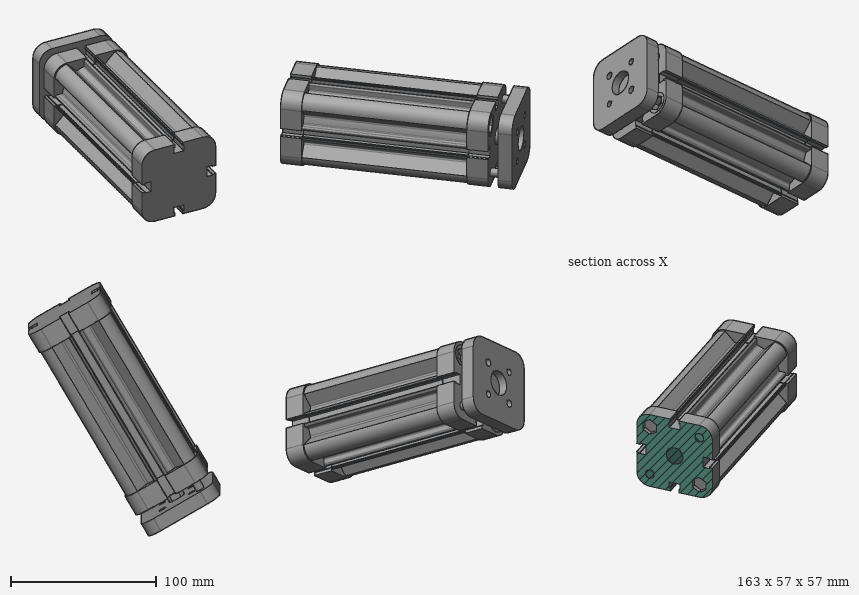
import cadquery as cq
import math


total_length = 163.0
plate_thickness = 10.0
gap_length = 7.0
cap_length = 14.8
front_cap_start = plate_thickness + gap_length
profile_start = front_cap_start + cap_length
rear_cap_start = total_length - cap_length
profile_length = rear_cap_start - profile_start

side = 57.0
half_side = side / 2
corner_radius = 10.0
corner_center = half_side - corner_radius

profile_inset = 1.0
lobe_radius = corner_radius - profile_inset
lobe_outer = half_side - profile_inset
barrel_radius = 22.8
valley_fillet = 1.3

rail_half_width = 5.2
rail_top = 27.2
rail_edge_fillet = 1.1
rail_root_fillet = 0.7
match_tolerance = 0.02

slot_mouth_width = 5.4
slot_undercut = 0.7
slot_lip_bottom = 26.0
slot_floor = 22.2
slot_mouth_chamfer = 0.5
cap_slot_clearance = 0.5

screw_head_radius = 7.7
screw_head_recess = 0.2
hex_across_flats = 9.8
hex_depth = 5.9

center_recess_diameter = 17.5
center_recess_depth = 6.0
plate_hole_offset = 11.5
large_hole_diameter = 5.2
small_hole_diameter = 4.5

guide_rod_diameter = 6.0
piston_rod_diameter = 12.0
wrench_flat_distance = 10.1
wrench_flat_length = 5.0
rod_length = profile_start - plate_thickness

screw_places = [(corner_center, corner_center), (-corner_center, -corner_center)]
guide_rod_places = [(-corner_center, corner_center), (corner_center, -corner_center)]
large_hole_places = [(plate_hole_offset, plate_hole_offset), (-plate_hole_offset, -plate_hole_offset)]
small_hole_places = [(-plate_hole_offset, plate_hole_offset), (plate_hole_offset, -plate_hole_offset)]


def section_plane(x):
    """Plane across the X axis at x, with local axes along Y and Z."""
    return cq.Workplane("YZ", origin=(x, 0, 0))


def rounded_square(x, length):
    return section_plane(x).rect(side, side).extrude(length).edges("|X").fillet(corner_radius)


def cylinders(x, places, diameter, length):
    return section_plane(x).pushPoints(places).circle(diameter / 2).extrude(length)


def on_four_sides(shape):
    """Four copies of a shape, turned about the X axis onto every side."""
    copies = shape
    for angle in (90, 180, 270):
        copies = copies.union(shape.rotate((0, 0, 0), (1, 0, 0), angle))
    return copies


def corner_lobe():
    """Rounded +Y +Z corner whose two flanks run inwards at 45 degrees."""
    flank_end = lobe_outer - corner_center
    arc_middle = corner_center + lobe_radius * math.cos(math.pi / 4)
    return (
        section_plane(profile_start)
        .moveTo(0, flank_end)
        .lineTo(corner_center, lobe_outer)
        .threePointArc((arc_middle, arc_middle), (lobe_outer, corner_center))
        .lineTo(flank_end, 0)
        .close()
        .extrude(profile_length)
    )


def rail():
    """Solid rail on the +Z side."""
    return (
        section_plane(profile_start)
        .center(0, rail_top / 2)
        .rect(2 * rail_half_width, rail_top)
        .extrude(profile_length)
        .edges("|X and >Z")
        .fillet(rail_edge_fillet)
    )


def slot_cutter(x, length, clearance):
    """Undercut slot open to the +Z side, widened and deepened by the clearance."""
    floor = slot_floor - clearance
    half_mouth = slot_mouth_width / 2 + clearance
    half_throat = half_mouth + slot_undercut
    return (
        section_plane(x)
        .moveTo(-half_throat, floor)
        .lineTo(half_throat, floor)
        .lineTo(half_throat, slot_lip_bottom)
        .lineTo(half_mouth, slot_lip_bottom)
        .lineTo(half_mouth, half_side)
        .lineTo(-half_mouth, half_side)
        .lineTo(-half_mouth, slot_lip_bottom)
        .lineTo(-half_throat, slot_lip_bottom)
        .close()
        .extrude(length)
    )


def mouth_chamfer_cutter():
    """Wedge that bevels both lips of the rail slot on the +Z side."""
    top_half_width = slot_mouth_width / 2 + slot_mouth_chamfer
    return (
        section_plane(profile_start)
        .moveTo(-top_half_width, rail_top)
        .lineTo(top_half_width, rail_top)
        .lineTo(0, rail_top - top_half_width)
        .close()
        .extrude(profile_length)
    )


def fillet_barrel_edges(body, radius, low, high):
    """Fillet the edges on the barrel surface that lie low to high away from a middle plane."""
    def is_wanted(edge):
        y = abs(edge.Center().y)
        z = abs(edge.Center().z)
        on_barrel = math.isclose(math.hypot(y, z), barrel_radius, abs_tol=match_tolerance)
        return on_barrel and low < min(y, z) < high

    return body.edges("|X").filter(is_wanted).fillet(radius)


def build_profile():
    barrel = section_plane(profile_start).circle(barrel_radius).extrude(profile_length)
    body = barrel.union(on_four_sides(corner_lobe()))
    body = fillet_barrel_edges(body, valley_fillet, rail_half_width, barrel_radius)
    body = body.union(on_four_sides(rail()))
    root_low = rail_half_width - match_tolerance
    root_high = rail_half_width + match_tolerance
    body = fillet_barrel_edges(body, rail_root_fillet, root_low, root_high)
    rail_slot = slot_cutter(profile_start, profile_length, 0)
    return body.cut(on_four_sides(rail_slot.union(mouth_chamfer_cutter())))


def build_cap(x):
    cap_slot = slot_cutter(x, cap_length, cap_slot_clearance)
    return rounded_square(x, cap_length).cut(on_four_sides(cap_slot))


def screw_head_cutters():
    """Shallow recesses that outline the screw heads, with their hexagon sockets."""
    recesses = cylinders(front_cap_start, screw_places, 2 * screw_head_radius, screw_head_recess)
    hex_across_corners = hex_across_flats / math.cos(math.pi / 6)
    for y, z in screw_places:
        socket = (
            section_plane(front_cap_start)
            .center(y, z)
            .transformed(rotate=(0, 0, 30))
            .polygon(6, hex_across_corners)
            .extrude(hex_depth)
        )
        recesses = recesses.union(socket)
    return recesses


def build_housing():
    front_cap = (
        build_cap(front_cap_start)
        .cut(screw_head_cutters())
        .cut(cylinders(front_cap_start, guide_rod_places, guide_rod_diameter, cap_length))
        .cut(cylinders(front_cap_start, [(0, 0)], piston_rod_diameter, cap_length))
    )
    return front_cap.union(build_profile()).union(build_cap(rear_cap_start))


def build_yoke_plate():
    return (
        rounded_square(0, plate_thickness)
        .cut(cylinders(0, [(0, 0)], center_recess_diameter, center_recess_depth))
        .cut(cylinders(0, large_hole_places, large_hole_diameter, plate_thickness))
        .cut(cylinders(0, small_hole_places, small_hole_diameter, plate_thickness))
    )


def build_piston_rod():
    """Rod with wrench flats on top and bottom next to the yoke plate."""
    full_rod = cylinders(plate_thickness, [(0, 0)], piston_rod_diameter, rod_length)
    flats = (
        section_plane(plate_thickness)
        .rect(side, side)
        .rect(side, wrench_flat_distance)
        .extrude(wrench_flat_length)
    )
    return full_rod.cut(flats)


def build_guide_rod(place):
    return cylinders(plate_thickness, [place], guide_rod_diameter, rod_length)


housing = build_housing().solids()
yoke_plate = build_yoke_plate().solids()
piston_rod = build_piston_rod().solids()
guide_rods = [build_guide_rod(place).val() for place in guide_rod_places]

result = cq.Compound.makeCompound([housing.val(), yoke_plate.val(), piston_rod.val(), *guide_rods])